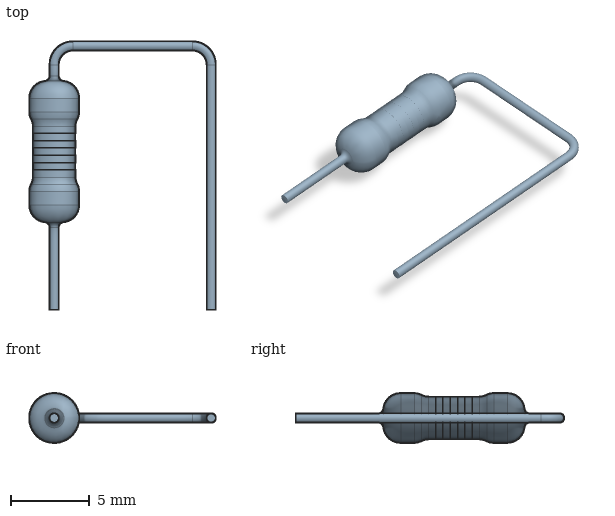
import cadquery as cq
import math

total_length = 17.1
total_width = 11.9
wire_diameter = 0.6
bend_radius = 1.2

cap_diameter = 3.2
waist_diameter = 2.72
band_diameter = 2.74
body_center_from_bend = 7.03
waist_half_length = 1.62
cap_inner = 2.53
cap_outer = 3.39
dome_radius = 1.13
flare_radius = 0.3
band_count = 4

wire_radius = wire_diameter / 2
cap_radius = cap_diameter / 2
band_radius = band_diameter / 2
lead_spacing = total_width - cap_radius - wire_radius
top_y = body_center_from_bend - wire_radius
bottom_y = body_center_from_bend - total_length
band_length = 2 * waist_half_length / (2 * band_count - 1)


def end_cap():
    """Revolve the +Y end of the body, from its outermost band to the flare on the lead."""
    shoulder_middle = ((cap_radius + band_radius) / 2, (cap_inner + waist_half_length) / 2)
    shoulder_end = (cap_radius, cap_inner)

    dome_center_radius = cap_radius - dome_radius
    flare_start_radius = wire_radius + flare_radius
    dome_angle = math.acos((flare_start_radius - dome_center_radius) / dome_radius)

    def dome_point(angle):
        return (
            dome_center_radius + dome_radius * math.cos(angle),
            cap_outer + dome_radius * math.sin(angle),
        )

    flare_start = dome_point(dome_angle)
    flare_end = (wire_radius, flare_start[1] + flare_radius)
    flare_mid = (
        flare_start_radius - flare_radius * math.sin(math.pi / 4),
        flare_end[1] - flare_radius * math.cos(math.pi / 4),
    )
    profile = (
        cq.Workplane("XY")
        .moveTo(0, waist_half_length - band_length)
        .lineTo(band_radius, waist_half_length - band_length)
        .lineTo(band_radius, waist_half_length)
        .tangentArcPoint(shoulder_middle, relative=False)
        .tangentArcPoint(shoulder_end, relative=False)
        .lineTo(cap_radius, cap_outer)
        .threePointArc(dome_point(dome_angle / 2), flare_start)
        .threePointArc(flare_mid, flare_end)
        .lineTo(0, flare_end[1])
        .close()
    )
    return profile.revolve(360, (0, 0, 0), (0, 1, 0))


def body_cylinder(diameter, start, length):
    """Make a cylinder on the body axis that runs in +Y from the given start."""
    return cq.Workplane("XZ", origin=(0, start, 0)).circle(diameter / 2).extrude(-length)


def lead_wire():
    """Sweep the lead through the body, around both bends and down the far side."""
    bend_start_y = top_y - bend_radius
    path = (
        cq.Workplane("XY")
        .moveTo(0, bottom_y)
        .lineTo(0, bend_start_y)
        .tangentArcPoint((bend_radius, top_y), relative=False)
        .lineTo(lead_spacing - bend_radius, top_y)
        .tangentArcPoint((lead_spacing, bend_start_y), relative=False)
        .lineTo(lead_spacing, bottom_y)
    )
    section = cq.Workplane("XZ", origin=(0, bottom_y, 0)).circle(wire_radius)
    return section.sweep(path)


body = body_cylinder(waist_diameter, -waist_half_length, 2 * waist_half_length)
for band_index in range(1, band_count - 1):
    band_start = -waist_half_length + 2 * band_index * band_length
    body = body.union(body_cylinder(band_diameter, band_start, band_length))

upper_cap = end_cap()
body = body.union(upper_cap).union(upper_cap.mirror("XZ"))

result = body.union(lead_wire())